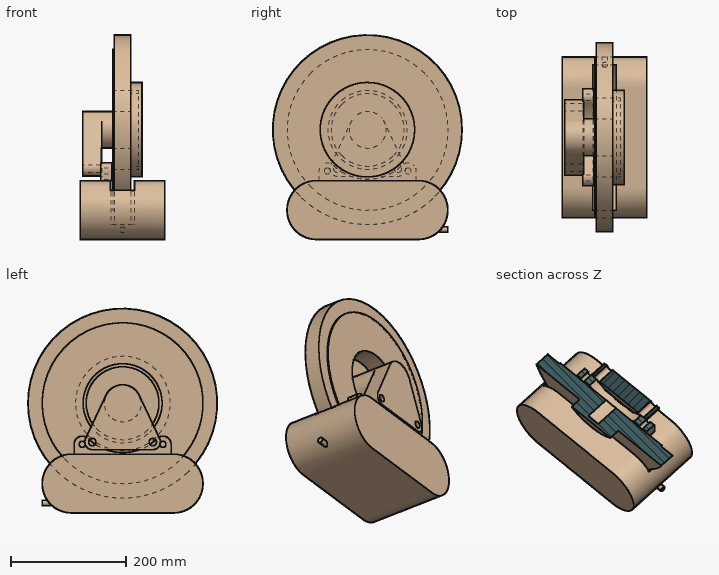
import cadquery as cq
import math

BASE_WIDTH = 147.5
BASE_HEIGHT = 102.5
BASE_LENGTH = 279.7
SLOT_START = 53.3
SLOT_END = 94.0
STUB_RADIUS = 5.0
STUB_HEIGHT = 17.5

TOTAL_HEIGHT = 355.5
WHEEL_RADIUS = 164.5
AXLE_HEIGHT = TOTAL_HEIGHT - WHEEL_RADIUS
RIM_START = 59.0
RIM_END = 88.0
FACE_START = 57.0
FACE_RADIUS = 139.5
HUB_RADIUS = 82.0
HUB_END = 108.0
BORE_RADIUS = 68.5
BORE_FLOOR = 101.3

ARM_START = 4.5
ARM_END = 37.5
AXLE_RADIUS = 32.0
FLANGE_START = 87.5
FLANGE_RADIUS = 63.3
FOOT_RADIUS = 13.0
FOOT_HOLE_RADIUS = 6.5
FOOT_Y = 52.5
FOOT_DROP = 67.5

BRACKET_START = 36.0
BRACKET_END = 55.5
EAR_Y = 70.0
EAR_DROP = 71.5
EAR_RADIUS = 14.2
EAR_HOLE_RADIUS = 5.5


def profile(x):
    """YZ sketch plane at the given X, with its origin on the wheel axis."""
    return cq.Workplane("YZ", origin=(x, 0, AXLE_HEIGHT))


def disc(radius, start, end):
    """Cylinder about the wheel axis between two X positions."""
    return profile(start).circle(radius).extrude(end - start)


def polar(y, z, radius, angle):
    """Point at an angle (radians) on a circle centred at (y, z)."""
    return (y + radius * math.cos(angle), z + radius * math.sin(angle))


def mirrored(point):
    """Point reflected to the other side of the wheel axis."""
    return (-point[0], point[1])


def make_base():
    block = (
        cq.Workplane("YZ", origin=(0, 0, BASE_HEIGHT / 2))
        .slot2D(BASE_LENGTH, BASE_HEIGHT)
        .extrude(BASE_WIDTH)
    )
    stub = (
        cq.Workplane("XZ", origin=(BASE_WIDTH / 2, BASE_LENGTH / 2, STUB_HEIGHT))
        .circle(STUB_RADIUS)
        .extrude(BASE_LENGTH / 2)
    )
    wheel_slot = disc(WHEEL_RADIUS, SLOT_START, SLOT_END)
    return block.union(stub).cut(wheel_slot)


def make_wheel():
    rim = disc(WHEEL_RADIUS, RIM_START, RIM_END)
    raised_face = disc(FACE_RADIUS, FACE_START, RIM_START)
    hub = disc(HUB_RADIUS, RIM_END, HUB_END)
    bore = disc(BORE_RADIUS, FACE_START, BORE_FLOOR)
    return rim.union(raised_face).union(hub).cut(bore)


def make_arm_plate():
    foot_distance = math.hypot(FOOT_Y, FOOT_DROP)
    foot_angle = math.atan2(-FOOT_DROP, FOOT_Y)
    side_angle = foot_angle + math.acos((AXLE_RADIUS - FOOT_RADIUS) / foot_distance)
    shoulder = polar(0, 0, AXLE_RADIUS, side_angle)
    foot_top = polar(FOOT_Y, -FOOT_DROP, FOOT_RADIUS, side_angle)
    foot_middle = polar(FOOT_Y, -FOOT_DROP, FOOT_RADIUS, (side_angle - math.pi / 2) / 2)
    foot_bottom = (FOOT_Y, -FOOT_DROP - FOOT_RADIUS)
    return (
        profile(ARM_START)
        .moveTo(*mirrored(shoulder))
        .threePointArc((0, AXLE_RADIUS), shoulder)
        .lineTo(*foot_top)
        .threePointArc(foot_middle, foot_bottom)
        .lineTo(*mirrored(foot_bottom))
        .threePointArc(mirrored(foot_middle), mirrored(foot_top))
        .close()
        .extrude(ARM_END - ARM_START)
    )


def make_arm():
    axle = disc(AXLE_RADIUS, ARM_START, FLANGE_START)
    flange = disc(FLANGE_RADIUS, FLANGE_START, BORE_FLOOR)
    foot_holes = (
        profile(ARM_START)
        .pushPoints([(-FOOT_Y, -FOOT_DROP), (FOOT_Y, -FOOT_DROP)])
        .circle(FOOT_HOLE_RADIUS)
        .extrude(ARM_END - ARM_START)
    )
    return make_arm_plate().union(axle).clean().union(flange).cut(foot_holes)


def make_bracket():
    ear_angle = math.atan2(-EAR_DROP, EAR_Y)
    cutout_radius = math.hypot(EAR_Y, EAR_DROP) - EAR_RADIUS
    ear_inside = polar(0, 0, cutout_radius, ear_angle)
    ear_top = (EAR_Y, -EAR_DROP + EAR_RADIUS)
    ear_outside = (EAR_Y + EAR_RADIUS, -EAR_DROP)
    bottom_corner = (EAR_Y + EAR_RADIUS, BASE_HEIGHT - AXLE_HEIGHT)
    plate = (
        profile(BRACKET_START)
        .moveTo(*mirrored(bottom_corner))
        .lineTo(*mirrored(ear_outside))
        .threePointArc(mirrored(ear_top), mirrored(ear_inside))
        .threePointArc((0, -cutout_radius), ear_inside)
        .threePointArc(ear_top, ear_outside)
        .lineTo(*bottom_corner)
        .close()
        .extrude(BRACKET_END - BRACKET_START)
    )
    ear_holes = (
        profile(BRACKET_START)
        .pushPoints([(-EAR_Y, -EAR_DROP), (EAR_Y, -EAR_DROP)])
        .circle(EAR_HOLE_RADIUS)
        .extrude(BRACKET_END - BRACKET_START)
    )
    return plate.cut(ear_holes).cut(make_arm_plate())


base = make_base()
wheel = make_wheel()
arm = make_arm()
bracket = make_bracket()

result = cq.Compound.makeCompound([base.val(), wheel.val(), arm.val(), bracket.val()])